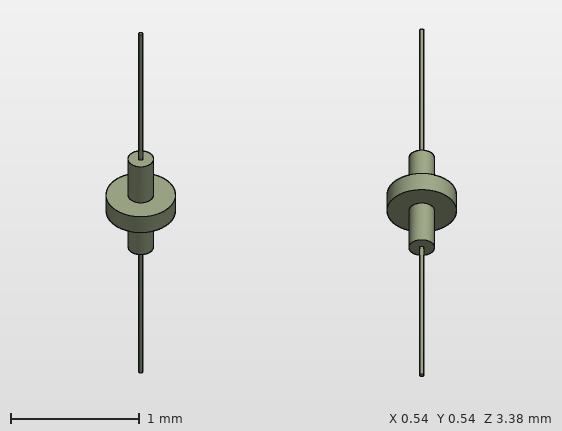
import cadquery as cq

total_length = 3.38
wire_diameter = 0.035
hub_diameter = 0.2
hub_length = 0.88
disc_diameter = 0.54
disc_thickness = 0.16


def centred_cylinder(diameter, length):
    """Cylinder along Z, centred on the origin."""
    return cq.Workplane("XY").cylinder(length, diameter / 2)


wire = centred_cylinder(wire_diameter, total_length)
hub = centred_cylinder(hub_diameter, hub_length)
disc = centred_cylinder(disc_diameter, disc_thickness)

result = disc.union(hub).union(wire)